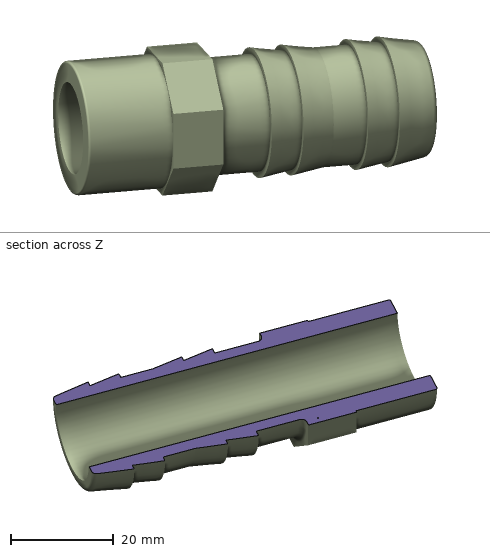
import cadquery as cq
import math


length = 71.0
bore_dia = 18.0
spigot_dia = 26.3
spigot_length = 17.0
spigot_round = 0.4
nut_flats = 27.0
nut_length = 10.1
nut_sides = 8
neck_dia = 23.0
neck_length = 10.0
neck_fillet = 1.1
barb_dia = 25.55
barb_root_dia = 23.4
barb_length = 6.4
land_length = 6.7
tip_root_dia = 22.6
tip_round = 1.1

spigot_end = -length / 2
nut_start = spigot_end + spigot_length
nut_end = nut_start + nut_length
rear_barb = nut_end + neck_length
second_barb = rear_barb + barb_length
land_start = second_barb + barb_length
third_barb = land_start + land_length
tip_barb = third_barb + barb_length
tip_end = length / 2

spigot_r = spigot_dia / 2
neck_r = neck_dia / 2
barb_r = barb_dia / 2
root_r = barb_root_dia / 2
tip_r = tip_root_dia / 2


def cylinder_along_y(radius, start, end):
    return cq.Workplane("XZ", origin=(0, start, 0)).circle(radius).extrude(start - end)


def make_spigot():
    spigot = cylinder_along_y(spigot_r, spigot_end, nut_start)
    return spigot.faces("<Y").fillet(spigot_round)


def make_nut():
    across_corners = nut_flats / math.cos(math.pi / nut_sides)
    nut = (
        cq.Workplane("XZ", origin=(0, nut_start, 0))
        .polygon(nut_sides, across_corners)
        .extrude(-nut_length)
    )
    return nut.rotate((0, 0, 0), (0, 1, 0), 180 / nut_sides)


def make_barb(start, end, front_r):
    """Cone that narrows from its sharp rear edge towards the hose tip."""
    return (
        cq.Workplane("XY")
        .moveTo(0, start)
        .lineTo(barb_r, start)
        .lineTo(front_r, end)
        .lineTo(0, end)
        .close()
        .revolve(360, (0, 0), (0, 1))
    )


def make_neck():
    """Plain neck with a concave fillet where it meets the octagon."""
    arc_dip = neck_fillet * (1 - math.sqrt(0.5))
    return (
        cq.Workplane("XY")
        .moveTo(0, nut_end)
        .lineTo(neck_r + neck_fillet, nut_end)
        .threePointArc(
            (neck_r + arc_dip, nut_end + arc_dip),
            (neck_r, nut_end + neck_fillet),
        )
        .lineTo(neck_r, rear_barb)
        .lineTo(0, rear_barb)
        .close()
        .revolve(360, (0, 0), (0, 1))
    )


body = make_spigot().union(make_nut()).union(make_neck())

for start in (rear_barb, second_barb, third_barb):
    body = body.union(make_barb(start, start + barb_length, root_r))
body = body.union(cylinder_along_y(root_r, land_start, third_barb))

tip = make_barb(tip_barb, tip_end, tip_r).faces(">Y").edges().fillet(tip_round)
body = body.union(tip)

result = body.cut(cylinder_along_y(bore_dia / 2, spigot_end, tip_end))